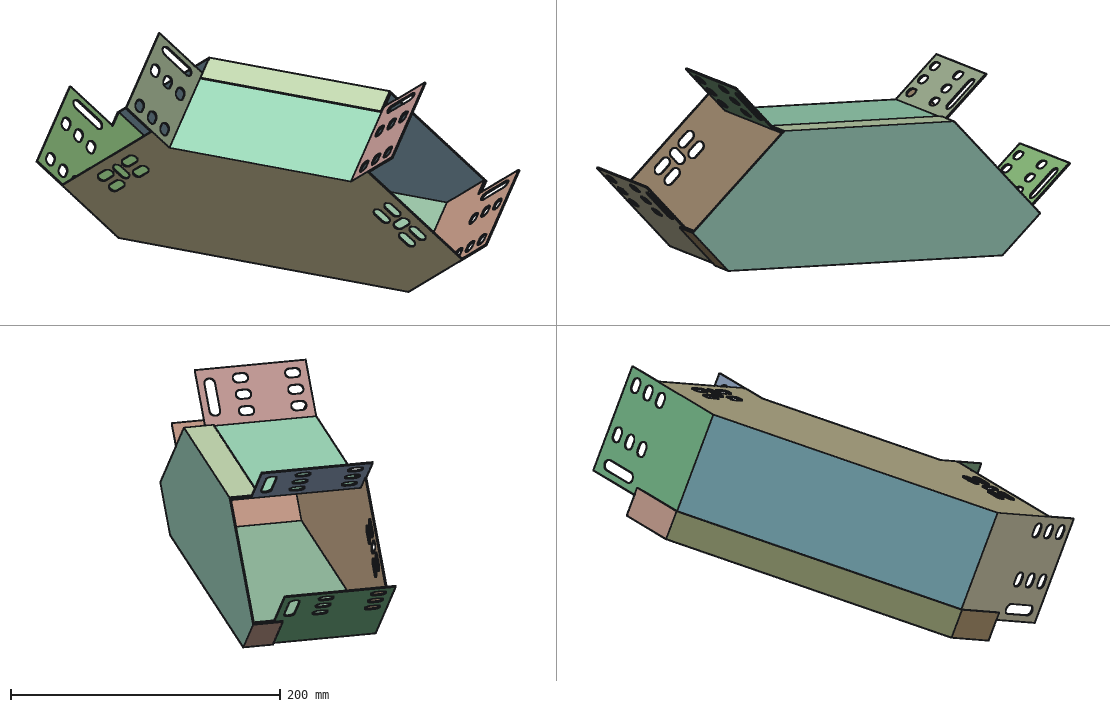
import cadquery as cq
import math

sheet = 1.0
height = 101.5
width = 101.5
top_length = 140.5
bend_angle = 45.0
wall_reach = 18.5
tab_reach = 46.0
tab_setback = 16.5
lip_width = 22.8

roll = -0.4
pitch = -1.6
yaw = 1.3

slot_width = 7.5
tab_slot_length = 11.5
tab_slot_pitch = 13.5
tab_slot_rows = (33.3, 73.3)
tab_slot_center = 22.8
long_slot_width = 8.0
long_slot_length = 30.0
long_slot_inset = 9.5

wall_slot_length = 14.7
wall_slot_rows = (11.2, 23.0)
wall_slot_spacing = 27.0
cross_slot_inset = 15.0

half_height = height / 2
front_face = -width / 2
back_face = width / 2
cover_inner = back_face - sheet
tab_back = back_face - tab_setback
miter = math.tan(math.radians(bend_angle / 2))
arm_cos = math.cos(math.radians(bend_angle))
arm_sin = math.sin(math.radians(bend_angle))
cover_reach = sheet * miter
sides = (-1, 1)


def bend_x(z):
    """Half length of the straight stretch at height z; the bends lie on the miter lines."""
    return top_length / 2 + (half_height - z) * miter


def arm_point(z, side, reach):
    """End, on one arm, of the line at height z; every line with one reach ends on one square cut."""
    length = reach + (half_height - z) * miter
    return (side * (bend_x(z) + length * arm_cos), z + length * arm_sin)


def straight_line(z):
    return [(-bend_x(z), z), (bend_x(z), z)]


def elbow_line(z, reach):
    return [arm_point(z, -1, reach), *straight_line(z), arm_point(z, 1, reach)]


def cover_bottom_line(z):
    return elbow_line(z, cover_reach)


def plate(lower_line, upper_line, y_from, y_to):
    """Prism along Y between two lines that both run from left to right."""
    outline = lower_line + upper_line[::-1]
    prism = cq.Workplane("XZ", origin=(0, y_from, 0)).polyline(outline).close()
    return prism.extrude(-(y_to - y_from))


def arm_plane(z, side, y, normal):
    """Plane with its origin at the tab tip at height z and its local X running back along the arm."""
    x, tip_z = arm_point(z, side, tab_reach)
    return cq.Plane(origin=(x, y, tip_z), xDir=(-side * arm_cos, 0, -arm_sin), normal=normal)


def slots(plane, places, length, breadth, angle):
    """Slot cutters that reach a little past the sheet on both sides of the plane."""
    sketch = cq.Workplane(plane).pushPoints(places).slot2D(length, breadth, angle)
    return sketch.extrude(2 * sheet, both=True)


def flange(z_low, z_high, covered_line):
    """Flange of the channel: it meets the cover's wall and runs out past it as narrower tabs."""
    tabbed = plate(elbow_line(z_low, tab_reach), elbow_line(z_high, tab_reach), front_face, tab_back)
    covered = plate(covered_line(z_low), covered_line(z_high), tab_back, cover_inner)
    return tabbed.union(covered)


def cut_tab_slots(body, z, side):
    plane = arm_plane(z, side, tab_back, (-arm_sin, 0, side * arm_cos))
    steps = [tab_slot_center + i * tab_slot_pitch for i in (-1, 0, 1)]
    small = [(step, row) for step in steps for row in tab_slot_rows]
    body = body.cut(slots(plane, small, tab_slot_length, slot_width, 90))
    long_place = [(tab_slot_center, long_slot_inset)]
    return body.cut(slots(plane, long_place, long_slot_length, long_slot_width, 0))


def cut_wall_slots(body, side):
    plane = arm_plane(0, side, front_face, (0, 1, 0))
    wall_end = tab_reach - wall_reach
    pairs = [(wall_end + row, s * wall_slot_spacing / 2) for row in wall_slot_rows for s in sides]
    body = body.cut(slots(plane, pairs, wall_slot_length, slot_width, 90))
    cross_place = [(wall_end + cross_slot_inset, 0)]
    return body.cut(slots(plane, cross_place, wall_slot_length, slot_width, 0))


def make_channel():
    body = plate(
        elbow_line(-half_height, wall_reach),
        elbow_line(half_height, wall_reach),
        front_face,
        front_face + sheet,
    )
    body = body.union(flange(-half_height, -half_height + sheet, cover_bottom_line))
    body = body.union(flange(half_height - sheet, half_height, straight_line))
    for side in sides:
        for z in (-half_height, half_height):
            body = cut_tab_slots(body, z, side)
        body = cut_wall_slots(body, side)
    return body


def make_cover():
    bottom = cover_bottom_line(-half_height - sheet)
    top = straight_line(half_height + sheet)
    lip_front = back_face - lip_width
    wall = plate(bottom, top, cover_inner, back_face)
    bottom_lip = plate(bottom, cover_bottom_line(-half_height), lip_front, cover_inner)
    top_lip = plate(straight_line(half_height), top, lip_front, cover_inner)
    return wall.union(bottom_lip).union(top_lip)


def tilt(body):
    origin = (0, 0, 0)
    body = body.rotate(origin, (1, 0, 0), roll)
    body = body.rotate(origin, (0, 1, 0), pitch)
    return body.rotate(origin, (0, 0, 1), yaw)


channel = tilt(make_channel())
cover = tilt(make_cover())
result = cq.Compound.makeCompound([channel.val(), cover.val()])